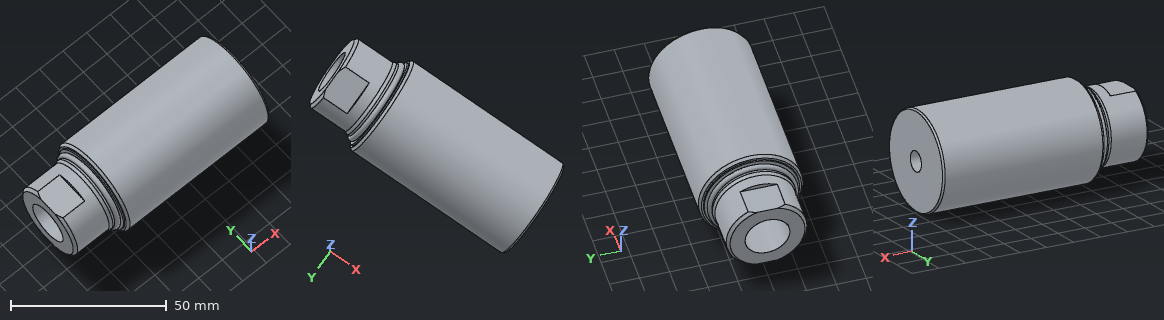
import cadquery as cq
import math

length = 79.0

neck_radius = 27.0 / 2
neck_chamfer = 1.0
flat_length = 10.3
flat_half_width = 12.0

cone_start = 14.3
cone_end = 15.5
collar_radius = 28.0 / 2

shoulder_x = 18.3
bead_outer_radius = 15.2
bead_section_radius = 1.0
bead_x = shoulder_x - bead_section_radius
bead_center_radius = bead_outer_radius - bead_section_radius

shoulder_radius = 31.8 / 2
body_x = 18.8
body_radius = 35.0 / 2
front_chamfer_length = 0.95
front_chamfer_depth = 0.8
rear_chamfer_length = 0.7
rear_chamfer_depth = 0.5

gap_outer_radius = 32.0 / 2
gap_depth = 0.5

bore_radius = 14.9 / 2
bore_depth = 19.75
drill_point_angle = 118.0
through_radius = 7.1 / 2


def revolve_about_x(profile):
    """Revolve a closed (X, radius) profile one full turn about the X axis."""
    return profile.close().revolve(360, (0, 0, 0), (1, 0, 0))


def outer_body():
    profile = (
        cq.Workplane("XY")
        .lineTo(0, neck_radius - neck_chamfer)
        .lineTo(neck_chamfer, neck_radius)
        .lineTo(cone_start, neck_radius)
        .lineTo(cone_end, collar_radius)
        .lineTo(shoulder_x, collar_radius)
        .lineTo(shoulder_x, shoulder_radius)
        .lineTo(body_x + gap_depth, shoulder_radius)
        .lineTo(body_x + gap_depth, gap_outer_radius)
        .lineTo(body_x, gap_outer_radius)
        .lineTo(body_x, body_radius - front_chamfer_depth)
        .lineTo(body_x + front_chamfer_length, body_radius)
        .lineTo(length - rear_chamfer_length, body_radius)
        .lineTo(length, body_radius - rear_chamfer_depth)
        .lineTo(length, 0)
    )
    return revolve_about_x(profile)


def bead():
    """Half-round bead on a short straight-sided foot that reaches into the collar."""
    foot_radius = collar_radius - bead_section_radius
    profile = (
        cq.Workplane("XY")
        .moveTo(bead_x - bead_section_radius, foot_radius)
        .lineTo(bead_x - bead_section_radius, bead_center_radius)
        .threePointArc(
            (bead_x, bead_outer_radius),
            (shoulder_x, bead_center_radius),
        )
        .lineTo(shoulder_x, foot_radius)
    )
    return revolve_about_x(profile)


def stepped_bore():
    half_angle = math.radians(drill_point_angle / 2)
    cone_length = (bore_radius - through_radius) / math.tan(half_angle)
    profile = (
        cq.Workplane("XY")
        .lineTo(0, bore_radius)
        .lineTo(bore_depth, bore_radius)
        .lineTo(bore_depth + cone_length, through_radius)
        .lineTo(length, through_radius)
        .lineTo(length, 0)
    )
    return revolve_about_x(profile)


def flat_cutter(side):
    """Block that cuts the wrench flat on the +Z (side = 1) or -Z (side = -1) face."""
    cutter_height = neck_radius
    center_z = side * (flat_half_width + cutter_height / 2)
    return (
        cq.Workplane("XY")
        .box(flat_length, 2 * neck_radius, cutter_height)
        .translate((flat_length / 2, 0, center_z))
    )


result = outer_body().union(bead()).cut(stepped_bore())
for side in (1, -1):
    result = result.cut(flat_cutter(side))